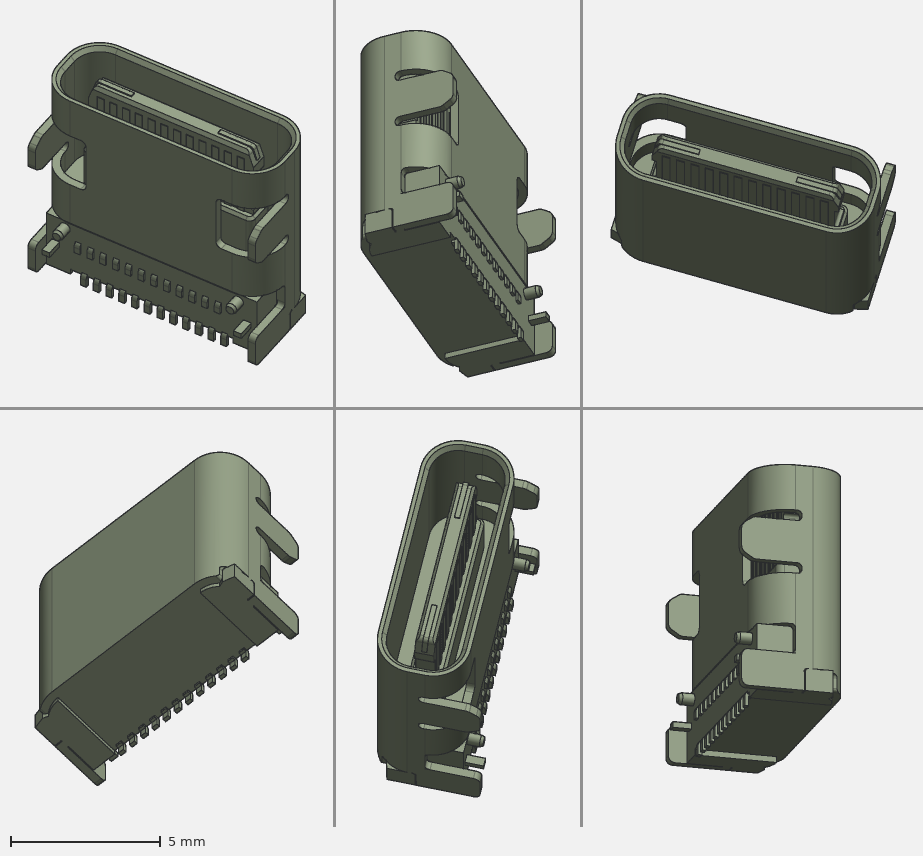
import cadquery as cq

SIDES = (-1, 1)

SHELL_WIDTH = 8.94
SHELL_DEPTH = 3.165
SHELL_RADIUS = 1.28
WALL = 0.295
SHELL_TOP = 8.1
MOUTH_CHAMFER = 0.15
HALF_WIDTH = SHELL_WIDTH / 2
HALF_DEPTH = SHELL_DEPTH / 2
CORNER_X = HALF_WIDTH - SHELL_RADIUS
CORNER_Y = HALF_DEPTH - SHELL_RADIUS
PAST_SHELL = 0.18

FOOT_Z = 0.21
BASE_Z = 0.41

WINDOW_BOTTOM = 4.3
WINDOW_TOP = 6.52
WINDOW_INNER_X = 2.56
WINDOW_FILLET = 0.21
SLOT_HEIGHT = 0.37
SLOT_END_Y = -0.08
SLOT_END_FILLET = 0.18

LEG_FRONT_Y = -2.18
LEG_CUT_Y = 0.43
LEG_CUT_Z = 0.28
LEG_CUT_FILLET = 0.27
LOWER_LEG_TOP = 1.49
LOWER_LEG_FILLET = 0.22

HOUSING_FRONT_Y = -1.55
HOUSING_TOP = 2.52
HOUSING_HALF_WIDTH = 4.14
FLOOR_Z = 3.4
OPENING_FILLET = 0.17

LUG_TOP = 0.99
LUG_FRONT_Y = 0.04
LUG_REAR_Y = 1.0
LUG_REAR_SLOPE = 0.12
LUG_INNER_X = 4.03
LUG_FILLET = 0.11
LUG_GAP = 0.04
LUG_OPENING_FILLET = 0.11
EDGE_REACH = 0.01

STUB_WIDTH = 6.69
STUB_DEPTH = 1.2
STUB_TOP = 5.1
STUB_FILLET = 0.23
STUB_CHAMFER = 0.11
TONGUE_DEPTH = 0.66
TONGUE_TOP = 7.85
TONGUE_HALF_WIDTH = 3.245
TONGUE_TIP_HALF_WIDTH = 3.03
TONGUE_SLOPE_Z = 7.23
TIP_FILLET = 0.21
TIP_CHAMFER_Y = 0.11
TIP_CHAMFER_Z = 0.13
NOTCH_BOTTOM = 5.31
NOTCH_TOP = 6.79
NOTCH_DEPTH = 0.14
NOTCH_FILLET = 0.125

PLATE_THICKNESS = 0.18
PLATE_PROUD = 0.045
PLATE_FILLET = 0.16
PLATE_INNER_X = 1.7
PLATE_BOTTOM = 7.375

PIN_COUNT = 12
PITCH = 0.5
CONTACT_WIDTH = 0.28
CONTACT_PROUD = 0.03
CONTACT_TOP = 7.47
PIN_WIDTH = 0.22
PIN_FRONT_Y = -1.64
PIN_THICKNESS = 0.13
PIN_BEND_RADIUS = 0.24
LOWER_PIN_BEND_Z = 0.31
UPPER_PIN_BOTTOM = 1.36
UPPER_PIN_BEND_Z = 1.6
PIN_STAGGER = PITCH / 4

PEG_X = 3.41
PEG_Z = 2.21
PEG_DIAMETER = 0.41
PEG_FRONT_Y = -2.08
PEG_TAPER_LENGTH = 0.12
PEG_TIP_DIAMETER = 0.3
BAR_X = 3.76
BAR_WIDTH = 0.3
BAR_BOTTOM = 1.25
BAR_HEIGHT = 0.21


def block(x0, x1, y0, y1, z0, z1):
    """Axis-aligned box between two opposite corners."""
    body = cq.Workplane("XY").box(abs(x1 - x0), abs(y1 - y0), abs(z1 - z0), centered=False)
    return body.translate((min(x0, x1), min(y0, y1), min(z0, z1)))


def racetrack(inset, z0, z1):
    """Rounded upright body, inset evenly from the outside of the shell."""
    body = cq.Workplane("XY").workplane(offset=z0)
    body = body.rect(SHELL_WIDTH - 2 * inset, SHELL_DEPTH - 2 * inset).extrude(z1 - z0)
    return body.edges("|Z").fillet(SHELL_RADIUS - inset)


def row_positions(shift=0.0):
    """X positions of one row of contacts."""
    first = -(PIN_COUNT - 1) * PITCH / 2 + shift
    return [first + i * PITCH for i in range(PIN_COUNT)]


def shell_window(side):
    """Front corner window plus the two round-ended slots above and below the leg."""
    outer_x = side * (HALF_WIDTH + PAST_SHELL)
    window = block(side * WINDOW_INNER_X, outer_x, -HALF_DEPTH - PAST_SHELL, -CORNER_Y,
                   WINDOW_BOTTOM, WINDOW_TOP)
    inner_face = "<X" if side > 0 else ">X"
    window = window.faces(inner_face).edges("|Y").fillet(WINDOW_FILLET)
    for slot_bottom in (WINDOW_BOTTOM, WINDOW_TOP - SLOT_HEIGHT):
        slot = block(side * (HALF_WIDTH - WALL), outer_x, -HALF_DEPTH, SLOT_END_Y,
                     slot_bottom, slot_bottom + SLOT_HEIGHT)
        window = window.union(slot.faces(">Y").edges("|X").fillet(SLOT_END_FILLET))
    return window


def leg(side, z0, z1):
    """Flat leg plate reaching from the side wall to the front."""
    return block(side * (HALF_WIDTH - WALL), side * HALF_WIDTH, LEG_FRONT_Y, -CORNER_Y, z0, z1)


def upper_leg(side):
    """Leg plate whose two front corners are cut at a slope and rounded."""
    bottom = WINDOW_BOTTOM + SLOT_HEIGHT
    top = WINDOW_TOP - SLOT_HEIGHT
    slope_y = LEG_FRONT_Y + LEG_CUT_Y
    plate = leg(side, bottom, top)
    for tip_z, inner_z in ((bottom, bottom + LEG_CUT_Z), (top, top - LEG_CUT_Z)):
        corner = [(slope_y, tip_z), (LEG_FRONT_Y, tip_z), (LEG_FRONT_Y, inner_z)]
        plate = plate.cut(cq.Workplane("YZ").polyline(corner).close().extrude(HALF_WIDTH, both=True))
    return plate.edges("|X").edges("not(>Y)").fillet(LEG_CUT_FILLET)


def lower_leg(side):
    """Leg plate at the bottom, with rounded front corners."""
    return leg(side, FOOT_Z, LOWER_LEG_TOP).faces("<Y").edges("|X").fillet(LOWER_LEG_FILLET)


def make_tube():
    """Tube with a chamfered mouth and all its cut-outs, plus the legs."""
    tube = racetrack(0, FOOT_Z, SHELL_TOP).cut(racetrack(WALL, FOOT_Z, SHELL_TOP))
    inner_rim = cq.selectors.AreaNthSelector(0)
    tube = tube.faces(">Z").wires(inner_rim).edges().chamfer(MOUTH_CHAMFER)
    past_x = HALF_WIDTH + PAST_SHELL
    past_y = HALF_DEPTH + PAST_SHELL
    opening = block(-past_x, past_x, -past_y, -CORNER_Y, LOWER_LEG_TOP, HOUSING_TOP)
    tube = tube.cut(opening.faces(">Y").edges("|X").fillet(OPENING_FILLET))
    tube = tube.cut(block(-past_x, past_x, -past_y, -CORNER_Y, 0, LOWER_LEG_TOP))
    tube = tube.cut(block(-past_x, past_x, LUG_FRONT_Y - LUG_GAP, past_y, 0, BASE_Z))
    for side in SIDES:
        lug_opening = block(side * LUG_INNER_X, side * past_x, LUG_FRONT_Y - LUG_GAP, past_y, 0, LUG_TOP)
        lug_opening = lug_opening.edges("<Y and >Z").fillet(LUG_FILLET)
        tube = tube.cut(lug_opening)
        lug_edge = cq.selectors.BoxSelector((side * LUG_INNER_X - EDGE_REACH, 0, FOOT_Z),
                                            (side * LUG_INNER_X + EDGE_REACH, HALF_DEPTH, SHELL_TOP / 2))
        tube = tube.edges("|Y").edges(lug_edge).fillet(LUG_OPENING_FILLET)
        tube = tube.cut(shell_window(side))
        tube = tube.union(upper_leg(side)).union(lower_leg(side))
    return tube


def lug(side):
    """Rear side block, flush with the side wall and sloped at its back."""
    outline = [(LUG_INNER_X - WALL, LUG_FRONT_Y), (HALF_WIDTH, LUG_FRONT_Y), (HALF_WIDTH, LUG_REAR_Y),
               (LUG_INNER_X, LUG_REAR_Y + LUG_REAR_SLOPE), (LUG_INNER_X - WALL, LUG_REAR_Y)]
    body = cq.Workplane("XY").workplane(offset=FOOT_Z)
    body = body.polyline([(side * x, y) for x, y in outline]).close().extrude(LUG_TOP - FOOT_Z)
    return body.edges("<Y and >Z").fillet(LUG_FILLET)


def make_housing():
    """Body filling the lower shell, with a front block, side lugs and a raised middle."""
    housing = racetrack(WALL, FOOT_Z, FLOOR_Z)
    housing = housing.union(block(-HALF_WIDTH, HALF_WIDTH, HOUSING_FRONT_Y, -CORNER_Y, FOOT_Z, HOUSING_TOP))
    for side in SIDES:
        housing = housing.cut(block(side * HOUSING_HALF_WIDTH, side * HALF_WIDTH, HOUSING_FRONT_Y, -CORNER_Y,
                                    FOOT_Z, HOUSING_TOP))
        housing = housing.union(lug(side))
    return housing.cut(block(-CORNER_X, CORNER_X, -HALF_DEPTH, HALF_DEPTH, FOOT_Z, BASE_Z))


def solder_pin(x, bottom, bend_z):
    """Flat pin that curves back into the housing above bend_z."""
    rear_y = PIN_FRONT_Y + PIN_THICKNESS
    bend_end = (PIN_FRONT_Y + PIN_BEND_RADIUS, bend_z + PIN_BEND_RADIUS)
    profile = (cq.Workplane("YZ").workplane(offset=x - PIN_WIDTH / 2)
               .moveTo(rear_y, bottom)
               .lineTo(PIN_FRONT_Y, bottom)
               .lineTo(PIN_FRONT_Y, bend_z)
               .tangentArcPoint(bend_end, relative=False)
               .lineTo(bend_end[0], bend_z)
               .lineTo(rear_y, bend_z)
               .close())
    return profile.extrude(PIN_WIDTH)


def peg(side):
    """Round peg with a tapered tip."""
    body = cq.Workplane("XZ", origin=(side * PEG_X, HOUSING_FRONT_Y, PEG_Z))
    body = body.circle(PEG_DIAMETER / 2).extrude(HOUSING_FRONT_Y - PEG_FRONT_Y - PEG_TAPER_LENGTH)
    body = body.faces("<Y").workplane().circle(PEG_DIAMETER / 2)
    return body.workplane(offset=PEG_TAPER_LENGTH).circle(PEG_TIP_DIAMETER / 2).loft()


def bar(side):
    """Small rectangular bar pointing to the front."""
    return block(side * BAR_X - BAR_WIDTH / 2, side * BAR_X + BAR_WIDTH / 2, LEG_FRONT_Y, HOUSING_FRONT_Y,
                 BAR_BOTTOM, BAR_BOTTOM + BAR_HEIGHT)


def tip_profile(bottom, proud):
    """XZ outline of the tongue above bottom, grown outward by proud."""
    half = TONGUE_HALF_WIDTH + proud
    tip_half = TONGUE_TIP_HALF_WIDTH + proud
    top = TONGUE_TOP + proud
    right = [(half, bottom), (half, TONGUE_SLOPE_Z), (tip_half, top)]
    left = [(-x, z) for x, z in reversed(right)]
    return cq.Workplane("XZ").polyline(right + left).close()


def make_tongue():
    """Stub, notched blade with bevelled tip, plate ends and both rows of contacts."""
    stub = block(-STUB_WIDTH / 2, STUB_WIDTH / 2, -STUB_DEPTH / 2, STUB_DEPTH / 2, FLOOR_Z, STUB_TOP)
    stub = stub.edges("|Z").fillet(STUB_FILLET).faces(">Z").chamfer(STUB_CHAMFER)

    blade = tip_profile(STUB_TOP, 0).extrude(TONGUE_DEPTH / 2, both=True)
    notch_floor = TONGUE_HALF_WIDTH - NOTCH_DEPTH
    for side in SIDES:
        notch = block(side * notch_floor, side * HALF_WIDTH, -TONGUE_DEPTH, TONGUE_DEPTH,
                      NOTCH_BOTTOM, NOTCH_TOP)
        floor_face = "<X" if side > 0 else ">X"
        blade = blade.cut(notch.faces(floor_face).edges("|Y").fillet(NOTCH_FILLET))
    blade = blade.faces(">Z").edges("|Y").fillet(TIP_FILLET)
    for side in SIDES:
        face_y = side * TONGUE_DEPTH / 2
        corner = [(face_y, TONGUE_TOP), (face_y - side * TIP_CHAMFER_Y, TONGUE_TOP),
                  (face_y, TONGUE_TOP - TIP_CHAMFER_Z)]
        bevel = cq.Workplane("YZ").polyline(corner).close()
        blade = blade.cut(bevel.extrude(HALF_WIDTH, both=True))

    plate = tip_profile(STUB_TOP, PLATE_PROUD).extrude(PLATE_THICKNESS / 2, both=True)
    plate = plate.faces(">Z").edges("|Y").fillet(PLATE_FILLET)
    tongue = stub.union(blade)
    for side in SIDES:
        end_zone = block(side * PLATE_INNER_X, side * HALF_WIDTH, -TONGUE_DEPTH, TONGUE_DEPTH,
                         PLATE_BOTTOM, SHELL_TOP)
        tongue = tongue.union(plate.intersect(end_zone))

    contact_y = TONGUE_DEPTH / 2 + CONTACT_PROUD
    for x in row_positions():
        tongue = tongue.union(block(x - CONTACT_WIDTH / 2, x + CONTACT_WIDTH / 2, -contact_y, contact_y,
                                    STUB_TOP, CONTACT_TOP))
    return tongue


result = make_tube().union(make_housing()).union(make_tongue())
for side in SIDES:
    result = result.union(peg(side)).union(bar(side))
for x in row_positions(PIN_STAGGER):
    result = result.union(solder_pin(x, 0, LOWER_PIN_BEND_Z))
for x in row_positions(-PIN_STAGGER):
    result = result.union(solder_pin(x, UPPER_PIN_BOTTOM, UPPER_PIN_BEND_Z))